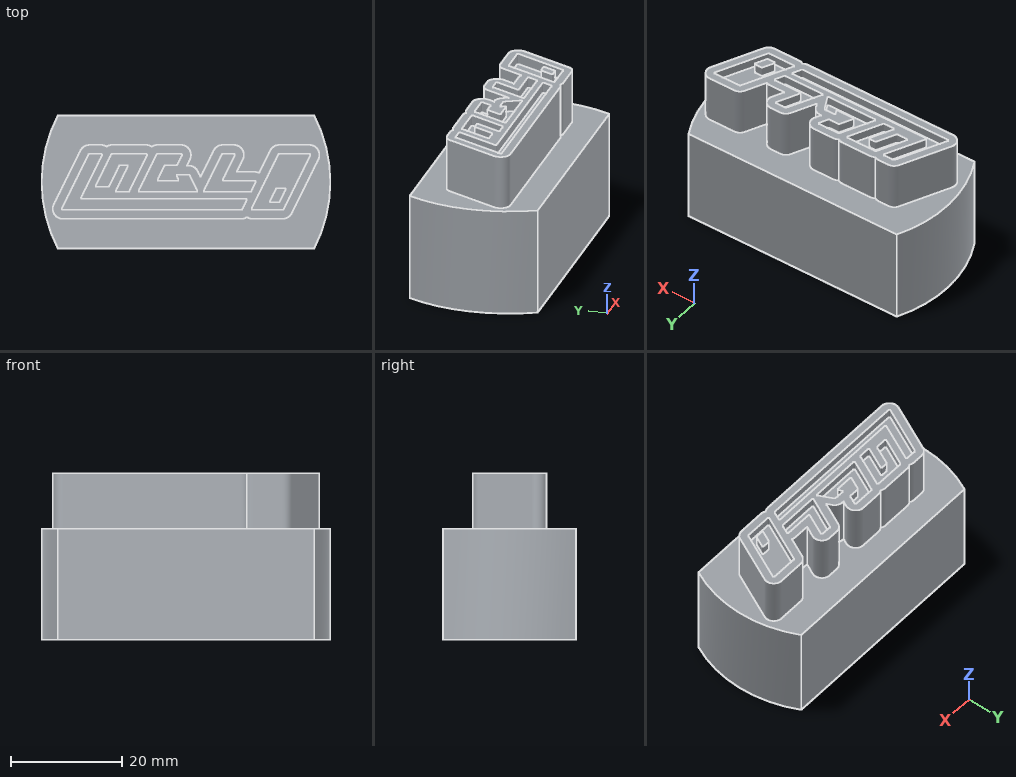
import cadquery as cq

base_length = 52.0
base_width = 24.0
base_height = 20.0

plate_height = 10.0
rim_width = 1.62
pocket_depth = 2.0
corner_radius = 0.18
plate_top = base_height + plate_height

slant = 0.495
row_bottom = -5.0
row_underline = -3.05
row_baseline = -1.8
row_short_leg = -0.87
row_arm = 0.2
row_wedge = 1.33
row_bar = 3.04
row_top = 5.05

hook_left = -22.47
hook_right = -19.97
arch_edges = (-18.4, -15.93, -14.33, -11.87)
crook_left = -10.23
crook_stem = -7.8
crook_tip = -5.58
ell_left = 1.5
ell_stem = 3.93
row_end = 10.08
frame_left = 11.68
frame_right = 17.52

wedge_left = -1.8
wedge_right = 0.6

island_left = 14.33
island_right = 16.13
island_bottom = -3.67
island_top = -1.15


def leaning(edge, row):
    """Point on a slanted stroke edge at the given row."""
    return (edge + slant * (row - row_bottom), row)


def counter_leaning(edge, row):
    """Point on a wedge side, which leans against the strokes."""
    return (edge + slant * (row_wedge - row), row)


def hook_outline():
    return [
        leaning(hook_left, row_bottom),
        leaning(row_end, row_bottom),
        leaning(row_end, row_underline),
        leaning(hook_right, row_underline),
        leaning(hook_right, row_top),
        leaning(hook_left, row_top),
    ]


def arch_outline():
    outer_left, inner_left, inner_right, outer_right = arch_edges
    return [
        leaning(outer_left, row_short_leg),
        leaning(inner_left, row_short_leg),
        leaning(inner_left, row_bar),
        leaning(inner_right, row_bar),
        leaning(inner_right, row_baseline),
        leaning(outer_right, row_baseline),
        leaning(outer_right, row_top),
        leaning(outer_left, row_top),
    ]


def crook_outline():
    return [
        leaning(crook_left, row_baseline),
        counter_leaning(wedge_right, row_baseline),
        counter_leaning(wedge_right, row_wedge),
        counter_leaning(wedge_left, row_wedge),
        counter_leaning(wedge_left, row_arm),
        leaning(crook_stem, row_arm),
        leaning(crook_stem, row_bar),
        leaning(crook_tip, row_bar),
        leaning(crook_tip, row_top),
        leaning(crook_left, row_top),
    ]


def ell_outline():
    return [
        leaning(ell_left, row_baseline),
        leaning(row_end, row_baseline),
        leaning(row_end, row_arm),
        leaning(ell_stem, row_arm),
        leaning(ell_stem, row_top),
        leaning(ell_left, row_top),
    ]


def slanted_box(left, right, bottom, top):
    return [
        leaning(left, bottom),
        leaning(right, bottom),
        leaning(right, top),
        leaning(left, top),
    ]


def make_base():
    disc = cq.Workplane("XY").circle(base_length / 2).extrude(base_height)
    flats = cq.Workplane("XY").box(base_length, base_width, base_height, centered=(True, True, False))
    return disc.intersect(flats)


def letter_prism(outline, height):
    """Letter-shaped prism with eased corners, ending at the plate top."""
    plane = cq.Workplane("XY").workplane(offset=plate_top - height)
    return plane.polyline(outline).close().extrude(height).edges("|Z").fillet(corner_radius)


def make_rim(outline):
    """Plate portion around one letter: the letter grown by the rim width, down to the base."""
    letter_edge = letter_prism(outline, plate_height).faces("<Z").wires().toPending()
    return letter_edge.offset2D(rim_width, "arc").extrude(plate_height)


letters = [
    hook_outline(),
    arch_outline(),
    crook_outline(),
    ell_outline(),
    slanted_box(frame_left, frame_right, row_bottom, row_top),
]

result = make_base()
for letter in letters:
    result = result.union(make_rim(letter))
for letter in letters:
    result = result.cut(letter_prism(letter, pocket_depth))

island_outline = slanted_box(island_left, island_right, island_bottom, island_top)
result = result.union(letter_prism(island_outline, pocket_depth))